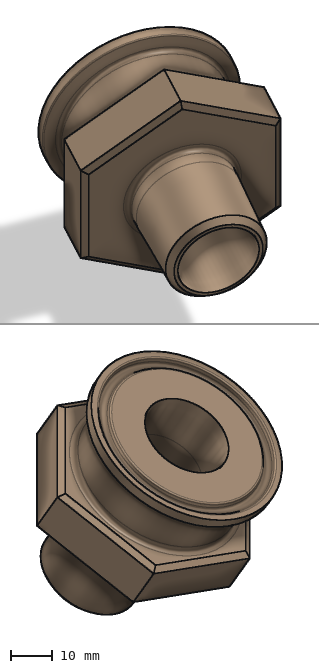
import cadquery as cq
import math

total_length = 55.55
hex_start = 17.25
hex_end = 30.7
collar_end = 35.3
hex_middle = (hex_start + hex_end) / 2

flange_radius = 50.4 / 2
neck_radius = 42.6 / 2
flange_back_angle = 20.0
flange_back_corner = 2.8
rim_round = 0.35
root_fillet = 1.5

groove_radius = 21.75
groove_half_width = 3.1 / 2
groove_wall_angle = 25.0
groove_bottom_round = 1.25
groove_lip_round = 0.515

hex_across_corners = 58.65
hex_chamfer_length = 1.05
hex_chamfer_angle = 57.0
hub_radius = 23.45

pipe_radius = 26.9 / 2
pipe_taper = 1 / 32
end_chamfer = 1.6

bore_face_radius = 22.1 / 2
bore_radius = 20.65 / 2
bore_taper_length = 13.15


def rounded_profile(corners):
    """Closed outline in XY from (x, radius, corner rounding) entries."""
    ends = []
    for i, (x, r, rounding) in enumerate(corners):
        here = cq.Vector(x, r)
        before = (cq.Vector(*corners[i - 1][:2]) - here).normalized()
        after = (cq.Vector(*corners[(i + 1) % len(corners)][:2]) - here).normalized()
        half_angle = before.getAngle(after) / 2
        setback = rounding / math.tan(half_angle)
        apex_gap = rounding / math.sin(half_angle) - rounding
        middle = here + (before + after).normalized() * apex_gap if rounding else here
        ends.append((here + before * setback, middle, here + after * setback, rounding))

    outline = cq.Workplane("XY").moveTo(*ends[0][2].toTuple()[:2])
    for start, middle, end, rounding in ends[1:] + ends[:1]:
        outline = outline.lineTo(start.x, start.y)
        if rounding:
            outline = outline.threePointArc((middle.x, middle.y), (end.x, end.y))
    return outline.close()


def revolve_about_x(outline):
    return outline.revolve(360, (0, 0, 0), (1, 0, 0))


def make_ferrule():
    """Grooved clamp flange and its neck, running into the hexagon."""
    slope_run = (flange_radius - neck_radius) * math.tan(math.radians(flange_back_angle))
    groove_apex = groove_half_width / math.tan(math.radians(groove_wall_angle))
    return revolve_about_x(rounded_profile([
        (0, 0, 0),
        (0, groove_radius - groove_half_width, groove_lip_round),
        (groove_apex, groove_radius, groove_bottom_round),
        (0, groove_radius + groove_half_width, groove_lip_round),
        (0, flange_radius, 0),
        (flange_back_corner, flange_radius, rim_round),
        (flange_back_corner + slope_run, neck_radius, root_fillet),
        (hex_start, neck_radius, root_fillet),
        (hex_start, hub_radius, 0),
        (hex_middle, hub_radius, 0),
        (hex_middle, 0, 0),
    ]))


def make_pipe_end():
    """Short straight collar, then the tapered pipe with a 45 degree end chamfer."""
    chamfer_start = total_length - end_chamfer
    end_radius = pipe_radius - (chamfer_start - collar_end) * pipe_taper
    return revolve_about_x(rounded_profile([
        (hex_middle, 0, 0),
        (hex_middle, hub_radius, 0),
        (hex_end, hub_radius, 0),
        (hex_end, pipe_radius, root_fillet),
        (collar_end, pipe_radius, 0),
        (chamfer_start, end_radius, 0),
        (total_length, end_radius - end_chamfer, 0),
        (total_length, 0, 0),
    ]))


def make_hexagon():
    """Hexagonal prism with corners on Z; both end faces are bevelled on all six sides."""
    def hexagon_at(x):
        plane = cq.Plane(origin=(x, 0, 0), xDir=(0, 0, 1), normal=(1, 0, 0))
        return cq.Workplane(plane).polygon(6, hex_across_corners)

    full_start = hex_start + hex_chamfer_length
    full_end = hex_end - hex_chamfer_length
    prism = hexagon_at(full_start).extrude(full_end - full_start)
    front_bevel = hexagon_at(full_start).extrude(-hex_chamfer_length, taper=hex_chamfer_angle)
    rear_bevel = hexagon_at(full_end).extrude(hex_chamfer_length, taper=hex_chamfer_angle)
    return prism.union(front_bevel).union(rear_bevel)


def make_bore():
    return revolve_about_x(rounded_profile([
        (0, 0, 0),
        (0, bore_face_radius, 0),
        (bore_taper_length, bore_radius, 0),
        (total_length, bore_radius, 0),
        (total_length, 0, 0),
    ]))


result = make_ferrule().union(make_hexagon()).union(make_pipe_end()).cut(make_bore())